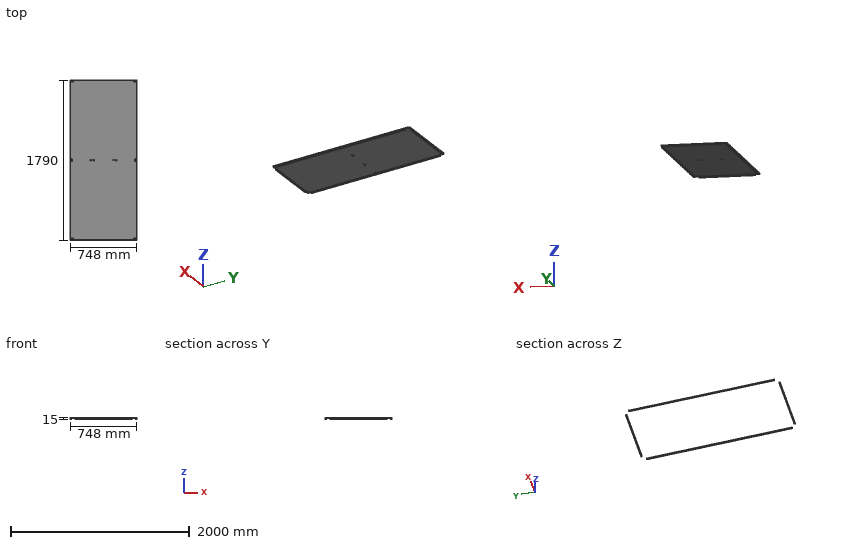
import cadquery as cq

panel_width = 748.0
panel_length = 1790.0
fold_height = 15.0
sheet = 2.0
corner_radius = 15.0

side_fold_length = 1690.0
side_lip = 13.0
end_fold_length = 634.0
end_lip = 9.0

slot_length = 23.0
slot_width = 10.0
corner_slot_from_side = 21.0
corner_slot_from_end = 11.6
side_slot_from_side = 15.0

small_hole_diameter = 4.5
small_hole_offsets = (111.0, 141.0)


def flat_panel():
    """Top sheet with rounded corners."""
    return (
        cq.Workplane("XY", origin=(0, 0, fold_height - sheet))
        .rect(panel_width, panel_length)
        .extrude(sheet)
        .edges("|Z")
        .fillet(corner_radius)
    )


def folded_edge(reach, run, lip):
    """Wall whose outer face is at X = reach, with an inward lip along its lower edge."""
    return (
        cq.Workplane("XZ")
        .moveTo(reach, 0)
        .lineTo(reach, fold_height)
        .lineTo(reach - sheet, fold_height)
        .lineTo(reach - sheet, sheet)
        .lineTo(reach - lip, sheet)
        .lineTo(reach - lip, 0)
        .close()
        .extrude(run / 2, both=True)
    )


def turned(body, angle):
    """Copy of a body turned about the vertical centre axis."""
    return body.rotate((0, 0, 0), (0, 0, 1), angle)


def sheet_points(points):
    """Cutting plane under the top sheet, with the given points selected."""
    return cq.Workplane("XY", origin=(0, 0, fold_height - sheet)).pushPoints(points)


result = flat_panel()

side_fold = folded_edge(panel_width / 2, side_fold_length, side_lip)
end_fold = folded_edge(panel_length / 2, end_fold_length, end_lip)
for half_turn in (0, 180):
    result = result.union(turned(side_fold, half_turn))
    result = result.union(turned(end_fold, half_turn + 90))

corner_x = panel_width / 2 - corner_slot_from_side
corner_y = panel_length / 2 - corner_slot_from_end
corner_points = [(sx * corner_x, sy * corner_y) for sx in (-1, 1) for sy in (-1, 1)]
result = result.cut(sheet_points(corner_points).slot2D(slot_length, slot_width).extrude(sheet))

side_x = panel_width / 2 - side_slot_from_side
side_points = [(-side_x, 0), (side_x, 0)]
result = result.cut(sheet_points(side_points).slot2D(slot_length, slot_width, 90).extrude(sheet))

small_points = [(sx * x, 0) for sx in (-1, 1) for x in small_hole_offsets]
result = result.cut(sheet_points(small_points).circle(small_hole_diameter / 2).extrude(sheet))